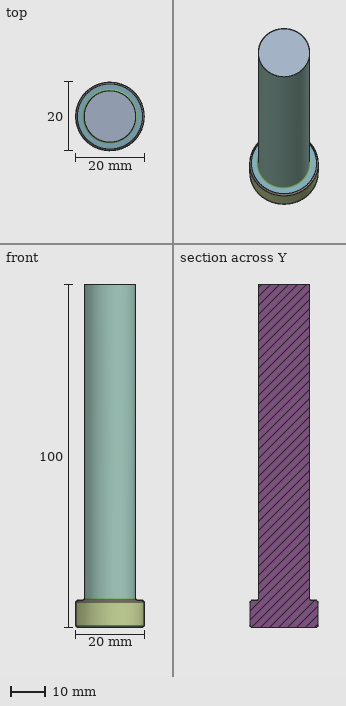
import cadquery as cq

total_length = 100.0
shank_diameter = 15.0
head_diameter = 20.0
head_height = 8.0
head_chamfer = 0.5
neck_fillet = 0.5

shank_radius = shank_diameter / 2
head_radius = head_diameter / 2

head = cq.Workplane("XY").circle(head_radius).extrude(head_height)
head = head.edges("%CIRCLE").chamfer(head_chamfer)

shank = cq.Workplane("XY").circle(shank_radius).extrude(total_length)
pin = head.union(shank)

head_top = pin.faces("+Z").faces("<Z")
neck_edge = head_top.edges(cq.selectors.RadiusNthSelector(0))
result = neck_edge.fillet(neck_fillet)